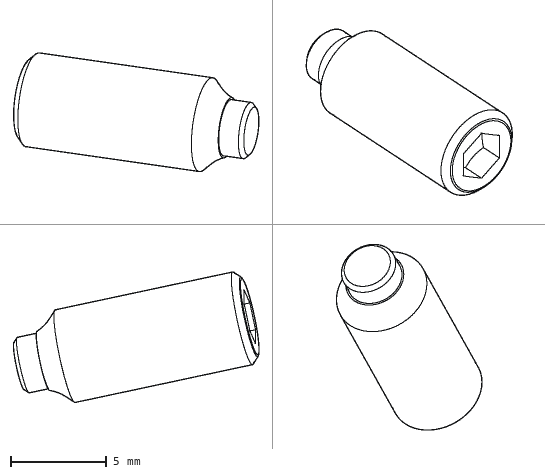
import cadquery as cq
import math

length = 12.5
body_radius = 2.5

head_chamfer = 0.39
face_radius = 2.05
edge_bevel = 0.04

shoulder_start = 10.0
shoulder_chamfer = 0.4
neck_end = 11.19
neck_end_radius = 1.6

dog_radius = 1.5
dog_chamfer = 0.22

socket_flats = 2.5
socket_depth = 1.28
floor_cone_angle = 120.0


def make_body():
    neck_start = shoulder_start + shoulder_chamfer
    neck_start_radius = body_radius - shoulder_chamfer
    bevel_radius = body_radius - head_chamfer + edge_bevel
    profile = (
        cq.Workplane("XY")
        .lineTo(0, face_radius)
        .lineTo(edge_bevel, bevel_radius)
        .lineTo(head_chamfer, body_radius)
        .lineTo(shoulder_start, body_radius)
        .lineTo(neck_start, neck_start_radius)
        .tangentArcPoint((neck_end, neck_end_radius), relative=False)
        .lineTo(neck_end, dog_radius)
        .lineTo(length - dog_chamfer, dog_radius)
        .lineTo(length, dog_radius - dog_chamfer)
        .lineTo(length, 0)
        .close()
    )
    return profile.revolve(360, (0, 0, 0), (1, 0, 0))


def make_socket():
    corner_radius = socket_flats / math.sqrt(3)
    cone_height = corner_radius / math.tan(math.radians(floor_cone_angle / 2))
    tip_depth = socket_depth + cone_height
    hexagon = (
        cq.Workplane("YZ")
        .transformed(rotate=(0, 0, 90))
        .polygon(6, 2 * corner_radius)
        .extrude(tip_depth)
    )
    drill = (
        cq.Workplane("XY")
        .lineTo(0, corner_radius)
        .lineTo(socket_depth, corner_radius)
        .lineTo(tip_depth, 0)
        .close()
        .revolve(360, (0, 0, 0), (1, 0, 0))
    )
    return hexagon.intersect(drill)


result = make_body().cut(make_socket())